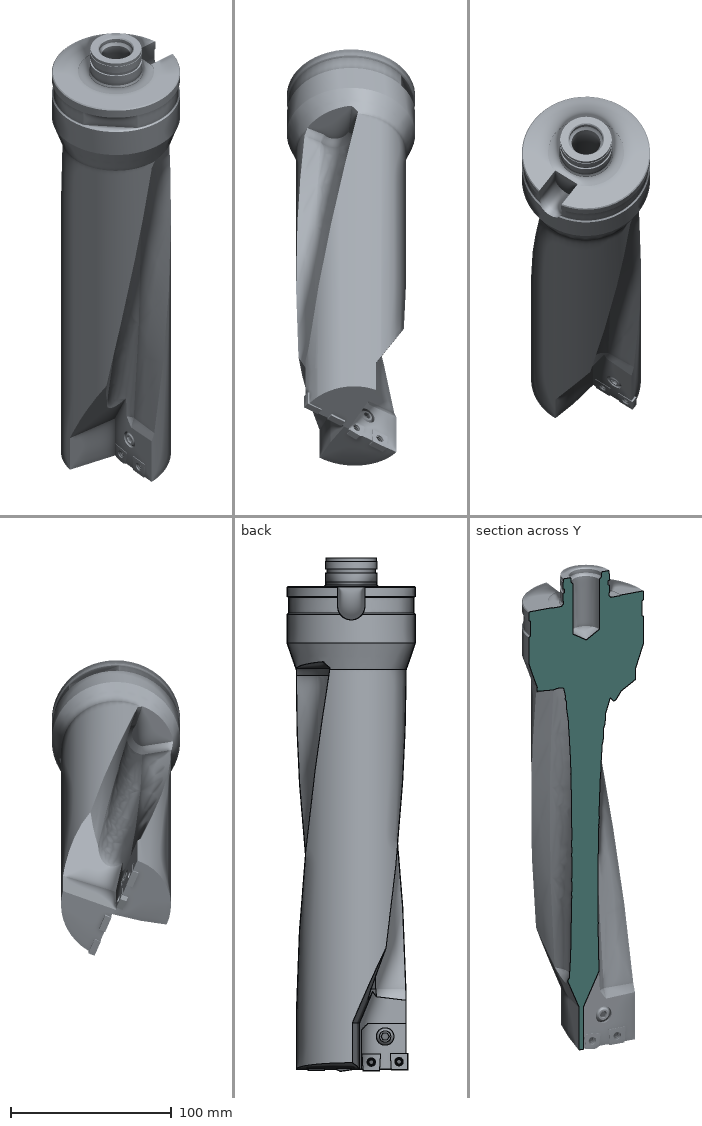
import cadquery as cq
import math

total_height = 320.0

flange_dia = 80.0
flange_top = 302.0
flange_chamfer = 0.5
groove_dia = 78.0
groove_top = 295.5
groove_bottom = 285.5
cone_top = 267.0
cone_bottom = 250.2
grip_flat_offset = 35.2
grip_flat_angle = -45.0

spigot_dia = 32.3
spigot_base_dia = 32.0
spigot_foot_dia = 34.0
spigot_foot_height = 1.0
spigot_tip_dia = 31.7
seal_groove_dia = 30.5
spigot_base_top = 305.0
seal_groove_bottom = 310.5
seal_groove_top = 313.0
spigot_tip_bottom = 317.8

bore_mouth_dia = 22.5
bore_entry_dia = 21.0
bore_dia = 18.0
bore_mouth_depth = 0.5
bore_entry_depth = 3.2
bore_step_depth = 4.8
bore_depth = 38.5
bore_tip_angle = 118.0

seat_dia = 47.5
seat_flat_offset = 21.0
seat_depth = 0.3
key_slot_width = 17.0
key_slot_depth = 20.8

shank_dia = 68.5
point_ridge_height = 1.3
point_rim_height = 5.5

flute_twist_rate = 0.2906
flute_level_height = 41.5
flute_floor_end = (-15.5, -1.5)
flute_root_mid = (-7.7, 8.3)
flute_wall_start = (-11.5, 19.5)
flute_wall_lean = 26.0
inner_flute_shift = 1.5
flute_top = 250.2
flute_top_tilt = 9.0
flute_top_bevel = 3.8
flute_top_lean = 45.0
flute_run_in_lean = 22.0
inner_flute_end = 38.5
inner_run_in = 6.5
outer_flute_end = 51.2
outer_run_in = 9.5

chip_pocket_height = 30.0
inner_pocket_slope = 0.49
outer_pocket_slope = 0.42
pocket_floor = 0.48
inner_pocket_wall = [(-1.5, pocket_floor), (-3.8, -shank_dia / 2)]
outer_pocket_wall = [(-5.0, -pocket_floor), (-3.5, 18.0), (-0.5, shank_dia / 2)]

cartridge_height = 29.8
cartridge_thickness = 10.5
cartridge_corner = 3.8
cartridge_rear_round = 2.0
inner_cartridge_span = (-1.5, 27.5)
outer_cartridge_span = (6.5, shank_dia)
insert_stand_out = 0.3
insert_depth = 4.0
insert_mouth_dia = 5.0
insert_hole_dia = 4.0
insert_socket_dia = 3.0
insert_hole_step = 1.0
screw_head_dia = 11.0
screw_head_height = 3.8
screw_head_chamfer = 2.0
screw_shank_dia = 4.8
screw_length = 16.0
screw_socket_dia = 5.0
screw_socket_depth = 2.5
screw_height = 21.8
inner_screw_x = 12.5
outer_screw_x = 21.0

inner_inserts = [
    ([(-1.0, 11.0), (10.2, 10.0), (9.0, 1.0), (6.7, 0), (0, 1.0)], (4.5, 5.8)),
    ([(16.0, 11.2), (27.5, 11.2), (27.0, 0.5), (16.5, 0.5)], (21.8, 6.0)),
]
outer_inserts = [
    ([(6.7, 11.0), (18.2, 11.0), (17.5, 0.3), (7.5, 0.3)], (12.5, 5.8)),
    ([(24.3, 11.2), (35.2, 11.2), (35.2, 1.0), (25.0, 1.0)], (29.8, 6.0)),
]

flange_radius = flange_dia / 2
shank_radius = shank_dia / 2
reach = flange_dia
insert_face_y = pocket_floor - insert_stand_out


def half_turn(solid):
    """Turn a workplane's shape by 180 degrees about the drill axis."""
    return solid.rotate((0, 0, 0), (0, 0, 1), 180)


def turned_blank():
    """Shank, cone, grooved flange and spigot in one turned profile."""
    profile = [
        (0, 0),
        (shank_radius, 0),
        (shank_radius, cone_bottom),
        (flange_radius, cone_top),
        (flange_radius, groove_bottom - flange_chamfer),
        (groove_dia / 2, groove_bottom),
        (groove_dia / 2, groove_top),
        (flange_radius, groove_top + flange_chamfer),
        (flange_radius, flange_top - flange_chamfer),
        (flange_radius - flange_chamfer, flange_top),
        (spigot_foot_dia / 2, flange_top),
        (spigot_base_dia / 2, flange_top + spigot_foot_height),
        (spigot_base_dia / 2, spigot_base_top),
        (spigot_dia / 2, spigot_base_top),
        (spigot_dia / 2, seal_groove_bottom),
        (seal_groove_dia / 2, seal_groove_bottom),
        (seal_groove_dia / 2, seal_groove_top),
        (spigot_dia / 2, seal_groove_top),
        (spigot_dia / 2, spigot_tip_bottom),
        (spigot_tip_dia / 2, spigot_tip_bottom),
        (spigot_tip_dia / 2, total_height),
        (0, total_height),
    ]
    return cq.Workplane("XZ").polyline(profile).close().revolve(360, (0, 0), (0, 1))


def coolant_bore():
    """Blind bore with a countersunk mouth and a drilled conical end."""
    tip_height = bore_dia / 2 / math.tan(math.radians(bore_tip_angle / 2))
    bore_bottom = total_height - bore_depth
    profile = [
        (0, bore_bottom - tip_height),
        (bore_dia / 2, bore_bottom),
        (bore_dia / 2, total_height - bore_step_depth),
        (bore_entry_dia / 2, total_height - bore_entry_depth),
        (bore_entry_dia / 2, total_height - bore_mouth_depth),
        (bore_mouth_dia / 2, total_height),
        (0, total_height),
    ]
    return cq.Workplane("XZ").polyline(profile).close().revolve(360, (0, 0), (0, 1))


def seat_recess():
    """Shallow D-shaped ring around the spigot, flat where it meets the key slot."""
    ring = (
        cq.Workplane("XY", origin=(0, 0, flange_top - seat_depth))
        .circle(seat_dia / 2)
        .circle(spigot_foot_dia / 2)
        .extrude(seat_depth)
    )
    keep = cq.Workplane("XY").box(reach, reach, total_height, centered=(True, True, False))
    return ring.intersect(keep.translate((0, seat_flat_offset - reach / 2, 0)))


def key_slot():
    """Round-bottomed slot from the D flat out through the +Y side of the flange."""
    radius = key_slot_width / 2
    spring_height = flange_top - key_slot_depth + radius
    return (
        cq.Workplane("XZ", origin=(0, seat_flat_offset, 0))
        .moveTo(-radius, flange_top)
        .lineTo(-radius, spring_height)
        .threePointArc((0, spring_height - radius), (radius, spring_height))
        .lineTo(radius, flange_top)
        .close()
        .extrude(-reach)
    )


def grip_flat():
    """Flat milled on one side of the groove."""
    block = cq.Workplane("XY").box(reach, reach, groove_top - groove_bottom, centered=(False, True, False))
    block = block.translate((grip_flat_offset, 0, groove_bottom))
    return block.rotate((0, 0, 0), (0, 0, 1), grip_flat_angle)


def flute_section(height, shift):
    """Flute cross-section on the -X side, moved inward by the shift: floor, round root and leaning wall."""
    lean = math.radians(flute_wall_lean)
    wall_end = (
        flute_wall_start[0] - flange_radius * math.sin(lean),
        flute_wall_start[1] + flange_radius * math.cos(lean),
    )
    turn = flute_twist_rate * (height - flute_level_height)
    return (
        cq.Workplane("XY", origin=(0, 0, height))
        .transformed(rotate=(0, 0, turn))
        .center(shift, -shift)
        .moveTo(-reach, flute_floor_end[1])
        .lineTo(*flute_floor_end)
        .threePointArc(flute_root_mid, flute_wall_start)
        .lineTo(*wall_end)
        .lineTo(-reach, wall_end[1])
        .close()
    )


def flute_top_limit():
    """Block below the tilted plane where the upper end of the flute starts to narrow."""
    height = flute_top - flute_top_bevel
    block = cq.Workplane("XY").box(4 * reach, 4 * reach, 2 * height, centered=True)
    block = block.translate((0, 0, -height)).rotate((0, 0, 0), (1, 0, 0), -flute_top_tilt)
    return block.translate((0, 0, height))


def flute(end_height, run_in, shift=0):
    """Helical flute on the -X side with a bevelled upper end and a tapered run-in at its lower end."""
    length = total_height - end_height
    helix = flute_section(end_height, shift).twistExtrude(length, flute_twist_rate * length)
    helix = helix.intersect(flute_top_limit())
    upper_end = (
        helix.faces(">Z").wires().toPending().workplane()
        .extrude(flute_top_bevel, taper=flute_top_lean, combine=False)
    )
    lower_end = flute_section(end_height, shift).extrude(-run_in, taper=flute_run_in_lean)
    return helix.union(upper_end).union(lower_end)


def point_limit():
    """Everything above the two sloping end faces, which meet in a ridge along X."""
    slope = (point_rim_height - point_ridge_height) / shank_radius
    edge_height = point_ridge_height + slope * reach
    outline = [
        (0, point_ridge_height),
        (reach, edge_height),
        (reach, 2 * total_height),
        (-reach, 2 * total_height),
        (-reach, edge_height),
    ]
    return cq.Workplane("YZ").polyline(outline).close().extrude(reach, both=True)


def chip_pocket(wall, slope, side):
    """Pocket opening toward the given X side, upright at the point and sloping out above."""
    outer_y = -side * reach
    floor_y = side * pocket_floor
    outline = [
        *wall,
        (wall[-1][0], outer_y),
        (side * 2 * reach, outer_y),
        (side * 2 * reach, floor_y),
    ]
    upright = cq.Workplane("XY").polyline(outline).close().extrude(chip_pocket_height)
    run_out = cq.Solid.extrudeLinear(
        upright.faces(">Z").val(),
        cq.Vector(side * slope * reach, 0, reach),
    )
    return upright.union(cq.Workplane(run_out))


def cartridge_plate(span):
    """Plate let into the pocket floor, with bevelled upper corners, trimmed to the shank."""
    width = span[1] - span[0]
    plate = (
        cq.Workplane("XY")
        .box(width, cartridge_thickness, cartridge_height, centered=False)
        .edges("|Y and >Z")
        .chamfer(cartridge_corner)
        .edges("|X and >Y and >Z")
        .fillet(cartridge_rear_round)
        .translate((span[0], pocket_floor, 0))
    )
    shank = cq.Workplane("XY").circle(shank_radius).extrude(total_height)
    return plate.intersect(shank).intersect(point_limit())


def insert(outline):
    """Cutting insert standing slightly proud of the cartridge face."""
    face = cq.Workplane("XZ", origin=(0, insert_face_y, 0))
    return face.polyline(outline).close().extrude(-insert_depth)


def insert_hole(center):
    """Stepped hole in the middle of an insert, narrowing by one equal step at a time."""
    face = cq.Workplane("XZ", origin=(center[0], insert_face_y, center[1]))
    mouth = face.circle(insert_mouth_dia / 2).extrude(-insert_hole_step)
    middle = face.circle(insert_hole_dia / 2).extrude(-2 * insert_hole_step)
    socket = face.circle(insert_socket_dia / 2).extrude(-3 * insert_hole_step)
    return mouth.union(middle).union(socket)


def screw_blank(center_x):
    """Screw without its socket, which is also the shape of its hole."""
    face = cq.Workplane("XZ", origin=(center_x, pocket_floor, screw_height))
    head = face.circle(screw_head_dia / 2).extrude(-screw_head_height)
    shank = face.circle(screw_shank_dia / 2).extrude(-screw_length)
    return head.union(shank)


def cartridge(span, screw_x, inserts):
    """Cartridge with its inserts, bored for the screw that holds it."""
    plate = cartridge_plate(span)
    for outline, center in inserts:
        plate = plate.union(insert(outline)).cut(insert_hole(center))
    return plate.cut(screw_blank(screw_x))


def screw(center_x):
    """Cartridge screw with a bevelled head and a hexagon socket."""
    socket = (
        cq.Workplane("XZ", origin=(center_x, pocket_floor, screw_height))
        .polygon(6, screw_socket_dia)
        .extrude(-screw_socket_depth)
    )
    return screw_blank(center_x).faces("<Y").chamfer(screw_head_chamfer).cut(socket)


def drill_body():
    """Turned body with its coupling details, flutes, chip pockets and cartridge seats."""
    body = turned_blank().cut(coolant_bore()).cut(seat_recess()).cut(key_slot()).cut(grip_flat())
    body = body.cut(flute(outer_flute_end, outer_run_in))
    body = body.cut(half_turn(flute(inner_flute_end, inner_run_in, inner_flute_shift)))
    body = body.cut(chip_pocket(inner_pocket_wall, inner_pocket_slope, 1))
    body = body.cut(chip_pocket(outer_pocket_wall, outer_pocket_slope, -1))
    body = body.intersect(point_limit())
    body = body.cut(cartridge_plate(inner_cartridge_span)).cut(screw_blank(inner_screw_x))
    body = body.cut(half_turn(cartridge_plate(outer_cartridge_span).union(screw_blank(outer_screw_x))))
    return body


body = drill_body()
inner_cartridge = cartridge(inner_cartridge_span, inner_screw_x, inner_inserts)
outer_cartridge = half_turn(cartridge(outer_cartridge_span, outer_screw_x, outer_inserts))
inner_screw = screw(inner_screw_x)
outer_screw = half_turn(screw(outer_screw_x))

result = cq.Compound.makeCompound([
    body.val(), inner_cartridge.val(), outer_cartridge.val(), inner_screw.val(), outer_screw.val(),
])